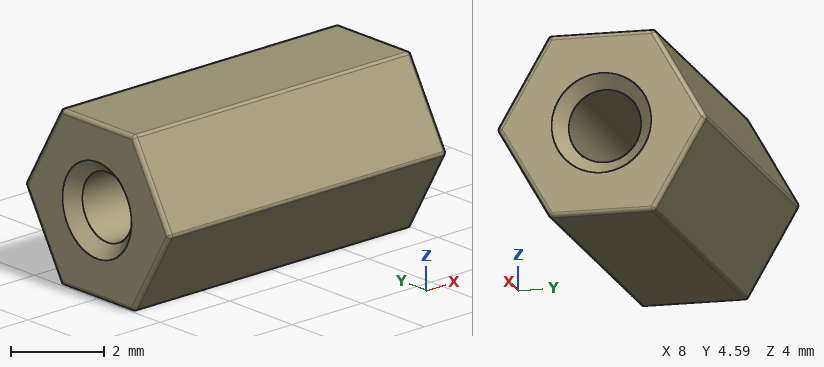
import cadquery as cq
import math

length = 8.0
across_flats = 4.0
edge_radius = 0.1
bore_diameter = 1.6
countersink_diameter = 2.2

across_corners = across_flats / math.cos(math.radians(30))
countersink_depth = (countersink_diameter - bore_diameter) / 2


def rounded_hex_bar():
    """Hexagonal bar centred on the origin, with every outer edge rounded."""
    bar = cq.Workplane("YZ").polygon(6, across_corners).extrude(length / 2, both=True)
    return bar.edges().fillet(edge_radius)


def countersunk_bore():
    """Through bore with a cone at each end, as one revolved solid."""
    half_length = length / 2
    bore_radius = bore_diameter / 2
    mouth_radius = countersink_diameter / 2
    cone_end = half_length - countersink_depth
    return (
        cq.Workplane("XY")
        .moveTo(-half_length, 0)
        .lineTo(-half_length, mouth_radius)
        .lineTo(-cone_end, bore_radius)
        .lineTo(cone_end, bore_radius)
        .lineTo(half_length, mouth_radius)
        .lineTo(half_length, 0)
        .close()
        .revolve(360, (0, 0, 0), (1, 0, 0))
    )


result = rounded_hex_bar().cut(countersunk_bore())